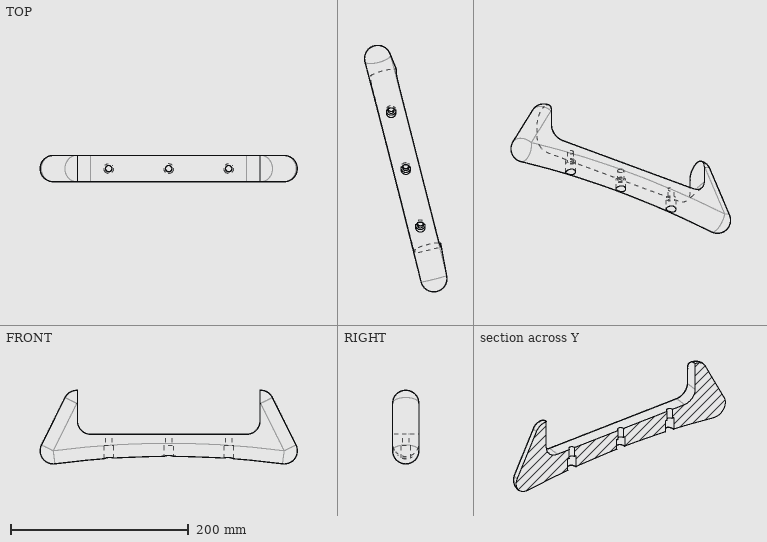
import cadquery as cq
import math

length = 290.0
height = 83.2
width = 30.0
radius = width / 2

recess_half_length = 102.6
floor_z = 33.5
recess_fillet = 14.8

corner_x = length / 2 - radius
corner_z = radius
tip_x = 103.5
tip_z = height - radius
crown_z = 23.5

hole_spacing = 67.5
hole_diameter = 7.0
counterbore_diameter = 11.0
counterbore_top_z = 21.2


def make_web():
    """Flat-sided core bounded by the centre line of the rounded edge."""
    return (
        cq.Workplane("XZ")
        .moveTo(-tip_x, tip_z)
        .lineTo(-corner_x, corner_z)
        .threePointArc((0, crown_z), (corner_x, corner_z))
        .lineTo(tip_x, tip_z)
        .close()
        .extrude(radius, both=True)
    )


def make_lower_edge():
    """Round bar bent along the shallow arc of the underside."""
    rise = crown_z - corner_z
    bend_radius = (corner_x**2 + rise**2) / (2 * rise)
    bend_z = crown_z - bend_radius
    sweep_angle = 2 * math.degrees(math.asin(corner_x / bend_radius))
    return (
        cq.Workplane("YZ")
        .center(0, crown_z)
        .circle(radius)
        .revolve(sweep_angle, (-3, bend_z - crown_z, 0), (3, bend_z - crown_z, 0))
        .rotate((0, 0, bend_z), (0, 1, bend_z), -sweep_angle / 2)
    )


def make_horn(side):
    """Slanted round bar with a ball at its corner and at its tip."""
    corner = cq.Vector(side * corner_x, 0, corner_z)
    tip = cq.Vector(side * tip_x, 0, tip_z)
    axis = tip - corner
    bar = cq.Workplane(cq.Solid.makeCylinder(radius, axis.Length, corner, axis))
    ball = cq.Workplane("XY").sphere(radius)
    return bar.union(ball.translate(corner)).union(ball.translate(tip))


def make_recess():
    """Open-topped space between the horns, rounded at both floor corners."""
    return (
        cq.Workplane("XY")
        .workplane(offset=floor_z)
        .rect(2 * recess_half_length, 2 * width)
        .extrude(height)
        .edges("|Y and <Z")
        .fillet(recess_fillet)
    )


def make_screw_hole(x):
    """Through hole with a wider bore entering from below."""
    hole = cq.Workplane("XY").center(x, 0).circle(hole_diameter / 2).extrude(height)
    bore = cq.Workplane("XY").center(x, 0).circle(counterbore_diameter / 2).extrude(counterbore_top_z)
    return hole.union(bore)


result = make_web().union(make_lower_edge())
for side in (-1, 1):
    result = result.union(make_horn(side))
result = result.cut(make_recess())
for x in (-hole_spacing, 0, hole_spacing):
    result = result.cut(make_screw_hole(x))